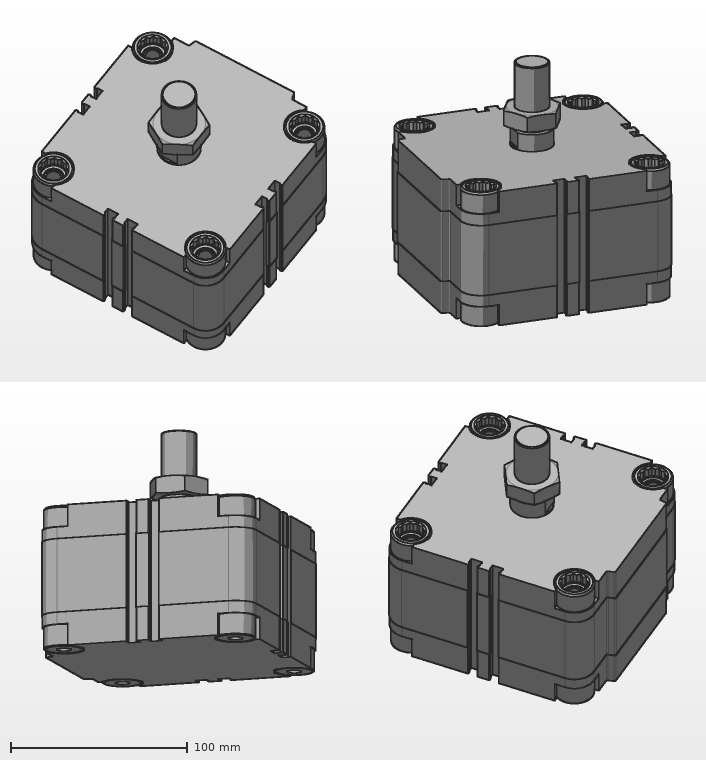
import cadquery as cq
import math

body_side = 128.0
total_depth = 133.0
corner_radius = 12.5
half_side = body_side / 2
bolt_pitch = half_side - corner_radius

end_height = 19.4
body_top = 81.4
barrel_bottom = end_height
barrel_top = body_top - end_height
total_height = 131.5
end_inset = 0.2

pad_height = total_depth - body_side
pad_half_width = 33.8
pad_slope_width = 1.2
pad_edge_radius = 0.9
pad_root_radius = 0.9

slot_offset = 6.6
slot_neck_width = 5.6
barrel_rib_overhang = 0.4
slot_width = 6.8
slot_neck_depth = 2.0
slot_depth = 5.6
slot_lip_radius = 0.4

recess_depth = 12.5
recess_reach = 19.0
recess_diameter = 23.4
head_diameter = 23.0
head_chamfer_width = 0.9
upper_head_chamfer_height = 1.2
lower_head_chamfer_height = 0.5
bolt_hole_diameter = 8.2
bolt_hole_mouth_diameter = 11.5
bolt_hole_step_diameter = 10.5
bolt_hole_mouth_depth = 0.7

socket_mouth_diameter = 17.5
socket_mouth_depth = 1.0
socket_point_diameter = 16.2
socket_wall_depth = 6.3
socket_floor_diameter = 15.4
socket_floor_depth = 7.5

collar_diameter = 25.0
collar_height = 10.2
collar_top = body_top + collar_height
flat_spacing = 22.1
flat_height = 1.0
flat_bottom = body_top + flat_height
neck_diameter = 18.2
neck_length = 2.8
thread_diameter = 20.0
thread_chamfer_width = 0.8
thread_chamfer_height = 0.5

nut_bottom = collar_top + neck_length
nut_height = 10.0
nut_flats = 30.0
nut_bevel_diameter = 29.8
nut_bevel_height = 0.7


def cylinder(diameter, bottom, top):
    return cq.Workplane("XY").workplane(offset=bottom).circle(diameter / 2).extrude(top - bottom)


def cone(bottom_diameter, top_diameter, bottom, top):
    """Frustum about the Z axis."""
    profile = [(0, bottom), (bottom_diameter / 2, bottom), (top_diameter / 2, top), (0, top)]
    return cq.Workplane("XZ").polyline(profile).close().revolve(360, (0, 0), (0, 1))


def at_corners(shape):
    """Copies of a shape about the Z axis, one on each bolt axis."""
    return [
        shape.translate((x_sign * bolt_pitch, y_sign * bolt_pitch, 0))
        for x_sign in (-1, 1)
        for y_sign in (-1, 1)
    ]


def t_slot(bottom, top, inset, rib_overhang):
    """T-slot cutter open towards -Y with flared lips; its rib is on the -X side."""
    face_y = inset - half_side
    lip_y = face_y + slot_lip_radius
    neck_y = slot_neck_depth - half_side
    floor_y = slot_depth - half_side
    rib_x = rib_overhang - slot_neck_width / 2
    outer_x = slot_neck_width / 2
    pocket_x = slot_width / 2
    outline = (
        cq.Workplane("XY")
        .workplane(offset=bottom)
        .moveTo(rib_x - slot_lip_radius, face_y)
        .radiusArc((rib_x, lip_y), slot_lip_radius)
        .lineTo(rib_x, neck_y)
        .lineTo(-pocket_x, neck_y)
        .lineTo(-pocket_x, floor_y)
        .lineTo(pocket_x, floor_y)
        .lineTo(pocket_x, neck_y)
        .lineTo(outer_x, neck_y)
        .lineTo(outer_x, lip_y)
        .radiusArc((outer_x + slot_lip_radius, face_y), slot_lip_radius)
        .close()
    )
    return outline.extrude(top - bottom).translate((slot_offset, 0, 0))


def raised_pad(bottom, top, inset):
    """Pad with sloping sides along the +Y face."""
    top_half = pad_half_width - inset
    base_half = top_half + pad_slope_width
    base_y = half_side - inset
    top_y = base_y + pad_height - inset
    root_y = base_y - corner_radius
    outline = [
        (-base_half, root_y),
        (-base_half, base_y),
        (-top_half, top_y),
        (top_half, top_y),
        (base_half, base_y),
        (base_half, root_y),
    ]
    pad = cq.Workplane("XY").workplane(offset=bottom).polyline(outline).close().extrude(top - bottom)
    return pad.edges("|Z and >Y").fillet(pad_edge_radius)


def body_section(bottom, top, inset=0, rib_overhang=0):
    """Length of the slotted body profile, set in on all sides."""
    side = body_side - 2 * inset
    section = cq.Workplane("XY").workplane(offset=bottom).rect(side, side).extrude(top - bottom)
    section = section.edges("|Z").fillet(corner_radius - inset)
    section = section.union(raised_pad(bottom, top, inset))
    root_x = pad_half_width - inset + pad_slope_width
    for x in (-root_x, root_x):
        root = cq.selectors.NearestToPointSelector((x, half_side - inset, (bottom + top) / 2))
        section = section.edges("|Z").edges(root).fillet(pad_root_radius)
    slot = t_slot(bottom, top, inset, rib_overhang)
    for cutter in (slot, slot.mirror("YZ")):
        for angle in (0, 90, -90):
            section = section.cut(cutter.rotate((0, 0, 0), (0, 0, 1), angle))
    return section


def bolt_head(outer_end, inner_end, chamfer_height):
    """Bolt head chamfered at its outer end."""
    direction = math.copysign(1, outer_end - inner_end)
    shoulder = outer_end - direction * chamfer_height
    head = cylinder(head_diameter, min(inner_end, shoulder), max(inner_end, shoulder))
    end_diameter = head_diameter - 2 * head_chamfer_width
    if direction > 0:
        return head.union(cone(head_diameter, end_diameter, shoulder, outer_end))
    return head.union(cone(end_diameter, head_diameter, outer_end, shoulder))


def corner_pockets(bottom, top):
    """Square cutters that open each corner around its bolt head."""
    cutters = []
    centre = half_side - recess_reach / 2
    for x_sign in (-1, 1):
        for y_sign in (-1, 1):
            pocket = cq.Workplane("XY").workplane(offset=bottom)
            pocket = pocket.center(x_sign * centre, y_sign * centre)
            cutters.append(pocket.rect(recess_reach, recess_reach).extrude(top - bottom))
    return cutters


def bolt_socket():
    """Cutter for the socket, with a conical mouth, twelve-point walls and a stepped hole mouth."""
    wall_bottom = body_top - socket_wall_depth
    floor = body_top - socket_floor_depth
    flats_diameter = socket_point_diameter * math.cos(math.radians(30))
    mouth_bottom = body_top - socket_mouth_depth
    socket = cylinder(socket_floor_diameter, floor, wall_bottom)
    for angle in (0, 30):
        hexagon = cq.Workplane("XY").workplane(offset=wall_bottom).polygon(6, socket_point_diameter)
        prism = hexagon.extrude(socket_wall_depth)
        socket = socket.union(prism.rotate((0, 0, 0), (0, 0, 1), angle))
    socket = socket.union(cone(flats_diameter, socket_mouth_diameter, mouth_bottom, body_top))
    step = floor - bolt_hole_mouth_depth
    mouth = cone(bolt_hole_step_diameter, bolt_hole_mouth_diameter, step, floor)
    return socket.union(mouth)


def housing_end(bottom, top, outer_end, head_chamfer_height):
    """End section of the housing with a bolt head in each corner recess."""
    inner_end = outer_end - math.copysign(recess_depth, outer_end - (bottom + top) / 2)
    recess_bottom = min(outer_end, inner_end)
    recess_top = max(outer_end, inner_end)
    body = body_section(bottom, top, end_inset)
    for pocket in corner_pockets(recess_bottom, recess_top):
        body = body.cut(pocket)
    for clearance in at_corners(cylinder(recess_diameter, recess_bottom, recess_top)):
        body = body.cut(clearance)
    for head in at_corners(bolt_head(outer_end, inner_end, head_chamfer_height)):
        body = body.union(head)
    return body


def make_housing():
    """Slotted block whose middle stands slightly proud of both ends."""
    lower_end = housing_end(0, barrel_bottom, 0, lower_head_chamfer_height)
    upper_end = housing_end(barrel_top, body_top, body_top, upper_head_chamfer_height)
    barrel = body_section(barrel_bottom, barrel_top, rib_overhang=barrel_rib_overhang)
    housing = barrel.union(lower_end).union(upper_end)
    for hole in at_corners(cylinder(bolt_hole_diameter, 0, body_top)):
        housing = housing.cut(hole)
    for socket in at_corners(bolt_socket()):
        housing = housing.cut(socket)
    return housing


def make_nut():
    """Hexagon with corners on the Y axis, bevelled at both ends, bored for the thread."""
    nut_top = nut_bottom + nut_height
    corner_diameter = nut_flats / math.cos(math.radians(30))
    nut = cq.Workplane("XY").workplane(offset=nut_bottom).polygon(6, corner_diameter).extrude(nut_height)
    nut = nut.rotate((0, 0, 0), (0, 0, 1), 30)
    bevels = cone(nut_bevel_diameter, corner_diameter, nut_bottom, nut_bottom + nut_bevel_height)
    bevels = bevels.union(
        cylinder(corner_diameter, nut_bottom + nut_bevel_height, nut_top - nut_bevel_height)
    )
    bevels = bevels.union(cone(corner_diameter, nut_bevel_diameter, nut_top - nut_bevel_height, nut_top))
    return nut.intersect(bevels).cut(cylinder(thread_diameter, nut_bottom, nut_top))


def make_rod():
    """Rod end standing on the housing, with a collar with two wrench flats, a neck and a thread."""
    collar = cylinder(collar_diameter, body_top, flat_bottom)
    flatted = cylinder(collar_diameter, flat_bottom, collar_top)
    between_flats = cq.Workplane("XY").workplane(offset=flat_bottom)
    between_flats = between_flats.rect(collar_diameter, flat_spacing).extrude(collar_top - flat_bottom)
    rod = collar.union(flatted.intersect(between_flats))
    rod = rod.union(cylinder(neck_diameter, collar_top, nut_bottom))
    chamfer_bottom = total_height - thread_chamfer_height
    rod = rod.union(cylinder(thread_diameter, nut_bottom, chamfer_bottom))
    tip_diameter = thread_diameter - 2 * thread_chamfer_width
    return rod.union(cone(thread_diameter, tip_diameter, chamfer_bottom, total_height))


housing = make_housing()
rod = make_rod()
nut = make_nut()

result = cq.Compound.makeCompound([housing.val(), rod.val(), nut.val()])